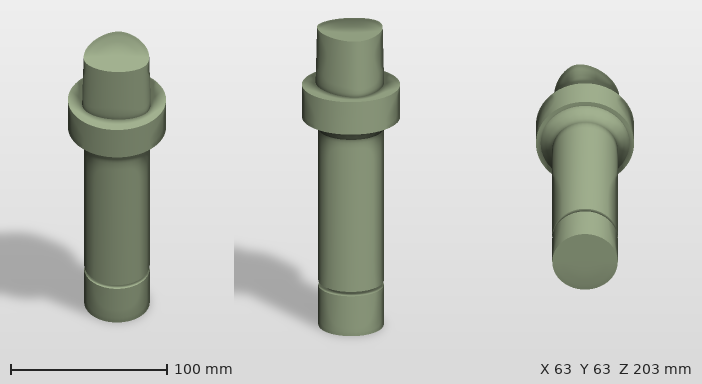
import cadquery as cq
import math

total_length = 203.0
nut_height = 27.5
groove_width = 3.0
flange_height = 22.3
cone_height = 7.7
shank_length = 38.0

neck_bottom_z = nut_height
body_bottom_z = neck_bottom_z + groove_width
flange_top_z = total_length - shank_length
flange_bottom_z = flange_top_z - flange_height
cone_bottom_z = flange_bottom_z - cone_height

body_diameter = 42.0
nut_diameter = body_diameter
neck_diameter = 33.5
flange_diameter = 63.0
cone_top_diameter = 56.8

shank_top_width = 42.0
shank_taper = 1 / 20
shank_base_width = shank_top_width + shank_taper * shank_length
lobe_height = 1.4
lobe_count = 3
first_corner_angle = -math.pi / 2


def shank_outline_point(width, turn):
    """Point of the constant-width outline whose outward normal is turned from the first corner."""
    angle = first_corner_angle + turn
    reach = width / 2 + lobe_height * math.cos(lobe_count * turn)
    slide = -lobe_count * lobe_height * math.sin(lobe_count * turn)
    x = reach * math.cos(angle) - slide * math.sin(angle)
    y = reach * math.sin(angle) + slide * math.cos(angle)
    return x, y


def shank_outline(z, width):
    """Closed smooth wire of the rounded triangle at height z."""
    point_count = 36
    points = []
    for index in range(point_count):
        x, y = shank_outline_point(width, 2 * math.pi * index / point_count)
        points.append(cq.Vector(x, y, z))
    edge = cq.Edge.makeSpline(points, periodic=True)
    return cq.Wire.assembleEdges([edge])


def make_shank():
    """Solid rounded-triangle shank that narrows towards the top."""
    base = shank_outline(flange_top_z, shank_base_width)
    top = shank_outline(total_length, shank_top_width)
    return cq.Workplane(cq.Solid.makeLoft([base, top], True))


def make_turned_body():
    """Neck, cylindrical body, cone and flange as one revolved profile."""
    return (
        cq.Workplane("XZ")
        .moveTo(0, neck_bottom_z)
        .lineTo(neck_diameter / 2, neck_bottom_z)
        .lineTo(neck_diameter / 2, body_bottom_z)
        .lineTo(body_diameter / 2, body_bottom_z)
        .lineTo(body_diameter / 2, cone_bottom_z)
        .lineTo(cone_top_diameter / 2, flange_bottom_z)
        .lineTo(flange_diameter / 2, flange_bottom_z)
        .lineTo(flange_diameter / 2, flange_top_z)
        .lineTo(0, flange_top_z)
        .close()
        .revolve(360, (0, 0, 0), (0, 1, 0))
    )


def make_holder():
    """Tool holder: turned body with the tapered shank on top."""
    return make_turned_body().union(make_shank()).solids()


def make_nut():
    """Plain round nut that closes the lower end, against the end of the neck."""
    return cq.Workplane("XY").circle(nut_diameter / 2).extrude(nut_height)


holder = make_holder()
nut = make_nut()

result = cq.Compound.makeCompound([holder.val(), nut.val()])